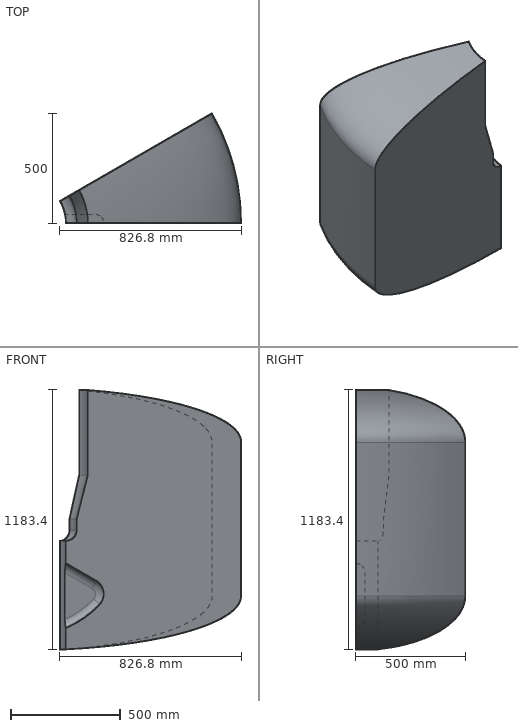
import cadquery as cq
import math

sector_angle = 30.0
drum_radius = 1000.0
end_depth = drum_radius / 4
straight_height = 700.0

lower_bore = 200.0
middle_bore = 250.0
upper_bore = 300.0

step_height = 496.0
step_fillet = middle_bore - lower_bore
cone_start = 595.0
cone_end = 795.0

pocket_depth = 40.0
pocket_fillet = 39.0
pocket_open_x = 118.0
nose_x = 303.0
nose_z = 253.0
nose_radius = 70.0
roof_angle = 60.0
belly_angle = -43.0
belly_radius = 450.0


def end_angle(radius):
    """Ellipse parameter, in degrees, where an end surface reaches a radius."""
    return math.degrees(math.acos(radius / drum_radius))


def end_rise(radius):
    """Axial distance from the straight wall to an end surface at a radius."""
    return end_depth * math.sin(math.radians(end_angle(radius)))


def polar_point(center, radius, angle):
    """Point on a circle at an angle in degrees."""
    turn = math.radians(angle)
    return center[0] + radius * math.cos(turn), center[1] + radius * math.sin(turn)


def make_sector():
    wall_top = end_rise(lower_bore) + straight_height
    step_center = (lower_bore, step_height + step_fillet)
    profile = (
        cq.Workplane("XZ")
        .moveTo(lower_bore, 0)
        .ellipseArc(drum_radius, end_depth, -end_angle(lower_bore), 0)
        .lineTo(drum_radius, wall_top)
        .ellipseArc(drum_radius, end_depth, 0, end_angle(upper_bore))
        .lineTo(upper_bore, cone_end)
        .lineTo(middle_bore, cone_start)
        .lineTo(middle_bore, step_center[1])
        .threePointArc(polar_point(step_center, step_fillet, -45), (lower_bore, step_height))
        .close()
    )
    return profile.revolve(sector_angle, (0, 0), (0, 1))


def make_pocket():
    nose = (nose_x, nose_z)
    roof_end = polar_point(nose, nose_radius, roof_angle)
    belly_end = polar_point(nose, nose_radius, belly_angle)
    roof_slope = 1 / math.tan(math.radians(roof_angle))
    roof_start_z = roof_end[1] + roof_slope * (roof_end[0] - pocket_open_x)

    belly = polar_point(nose, nose_radius - belly_radius, belly_angle)
    start_angle = -math.degrees(math.acos((pocket_open_x - belly[0]) / belly_radius))
    belly_start = polar_point(belly, belly_radius, start_angle)
    belly_middle = polar_point(belly, belly_radius, (start_angle + belly_angle) / 2)
    return (
        cq.Workplane("XZ")
        .moveTo(pocket_open_x, roof_start_z)
        .lineTo(*roof_end)
        .threePointArc((nose_x + nose_radius, nose_z), belly_end)
        .threePointArc(belly_middle, belly_start)
        .close()
        .extrude(-pocket_depth)
        .faces(">Y")
        .edges("not(<X)")
        .fillet(pocket_fillet)
    )


result = make_sector().cut(make_pocket())